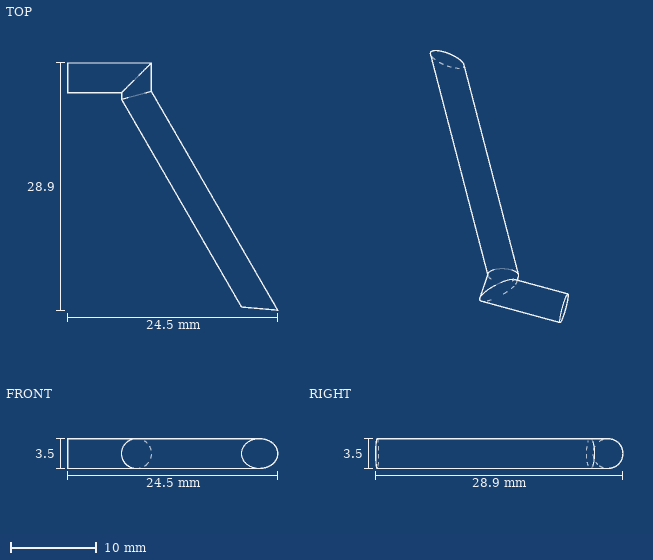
import cadquery as cq
import math

overall_y = 28.85
diameter = 3.5
short_arm = 8.02
link = 2.05
long_arm_angle = 30.0
end_face_angle = 5.0

radius = diameter / 2
tilt = math.radians(long_arm_angle)

square_end = (0, 0)
corner = (short_arm, 0)
bend = (short_arm, -link)

outer_bend_x = bend[0] + radius
outer_bend_y = bend[1] + radius * math.tan(tilt / 2)
tip_y = radius - overall_y
tip_x = outer_bend_x + (outer_bend_y - tip_y) * math.tan(tilt)

overrun_drop = bend[1] - tip_y + diameter
overrun_end = (bend[0] + overrun_drop * math.tan(tilt), bend[1] - overrun_drop)

axis = cq.Workplane("XY").polyline([square_end, corner, bend, overrun_end])
rod = cq.Workplane("YZ").circle(radius).sweep(axis, transition="right")

cutter_size = 6 * diameter
end_cutter = (
    cq.Workplane("XY")
    .box(cutter_size, cutter_size, cutter_size)
    .translate((0, -cutter_size / 2, 0))
    .rotate((0, 0, 0), (0, 0, 1), -end_face_angle)
    .translate((tip_x, tip_y, 0))
)

result = rod.cut(end_cutter)